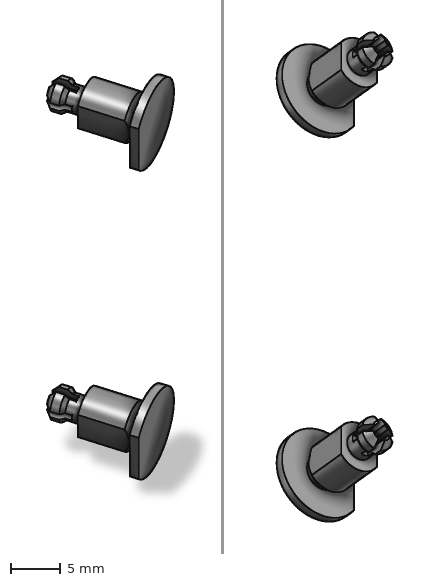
import cadquery as cq

OVERALL_HEIGHT = 55.3
TOTAL_LENGTH = 11.5

FLANGE_DIAMETER = 10.0
FLANGE_THICKNESS = 1.0
FLANGE_FLAT_OFFSET = 4.0

COLLAR_DIAMETER = 3.8

SHANK_DIAMETER = 5.55
SHANK_WIDTH = 4.5
SHANK_START = 4.0
SHANK_CHAMFER = 0.5
COLLAR_LENGTH = 0.85

NECK_DIAMETER = 3.0
HEAD_DIAMETER = 3.8
TIP_DIAMETER = 2.2
TIP_CONE_LENGTH = 0.7
HEAD_CONE_START = 1.7
HEAD_LENGTH = 2.2
SLOT_WIDTH = 0.8
SLOT_DEPTH = 3.0
BORE_SIDE = 1.65

FLANGE_START = TOTAL_LENGTH - FLANGE_THICKNESS
COLLAR_START = FLANGE_START - COLLAR_LENGTH
SHANK_CHAMFER_START = COLLAR_START - SHANK_CHAMFER
STUD_SPACING = OVERALL_HEIGHT - FLANGE_DIAMETER


def cylinder_along_x(diameter, start, end):
    return cq.Workplane("YZ", origin=(start, 0, 0)).circle(diameter / 2).extrude(end - start)


def make_flange():
    """Disc with one flat facing -Y."""
    disc = cylinder_along_x(FLANGE_DIAMETER, FLANGE_START, TOTAL_LENGTH)
    keep_width = FLANGE_FLAT_OFFSET + FLANGE_DIAMETER / 2
    keep = cq.Workplane("XY").box(TOTAL_LENGTH, keep_width, FLANGE_DIAMETER, centered=(False, False, True))
    return disc.intersect(keep.translate((0, -FLANGE_FLAT_OFFSET, 0)))


def make_shank():
    """Turned shank, chamfered at the collar end, with flats on both Y sides."""
    turned = (
        cq.Workplane("XY")
        .moveTo(SHANK_START, 0)
        .lineTo(SHANK_START, SHANK_DIAMETER / 2)
        .lineTo(SHANK_CHAMFER_START, SHANK_DIAMETER / 2)
        .lineTo(COLLAR_START, SHANK_DIAMETER / 2 - SHANK_CHAMFER)
        .lineTo(COLLAR_START, 0)
        .close()
        .revolve(360, (0, 0, 0), (1, 0, 0))
    )
    flats = cq.Workplane("XY").box(TOTAL_LENGTH, SHANK_WIDTH, SHANK_DIAMETER, centered=(False, True, True))
    return turned.intersect(flats)


def make_snap_head():
    """Double-coned head and neck, split into prongs by crossed slots and a square bore set at 45 degrees."""
    head = (
        cq.Workplane("XY")
        .moveTo(0, 0)
        .lineTo(0, TIP_DIAMETER / 2)
        .lineTo(TIP_CONE_LENGTH, HEAD_DIAMETER / 2)
        .lineTo(HEAD_CONE_START, HEAD_DIAMETER / 2)
        .lineTo(HEAD_LENGTH, NECK_DIAMETER / 2)
        .lineTo(SHANK_START, NECK_DIAMETER / 2)
        .lineTo(SHANK_START, 0)
        .close()
        .revolve(360, (0, 0, 0), (1, 0, 0))
    )
    slot = cq.Workplane("XY").box(SLOT_DEPTH, SLOT_WIDTH, HEAD_DIAMETER, centered=(False, True, True))
    crossing_slot = slot.rotate((0, 0, 0), (1, 0, 0), 90)
    square_bore = cq.Workplane("XY").box(SLOT_DEPTH, BORE_SIDE, BORE_SIDE, centered=(False, True, True))
    bore = square_bore.rotate((0, 0, 0), (1, 0, 0), 45)
    return head.cut(slot).cut(crossing_slot).cut(bore)


def make_stud(height):
    """One complete stud with its axis at the given height."""
    collar = cylinder_along_x(COLLAR_DIAMETER, COLLAR_START, FLANGE_START)
    stud = make_flange().union(collar).union(make_shank()).union(make_snap_head())
    return stud.translate((0, 0, height))


studs = [make_stud(side * STUD_SPACING / 2) for side in (-1, 1)]

result = cq.Compound.makeCompound([stud.val() for stud in studs])